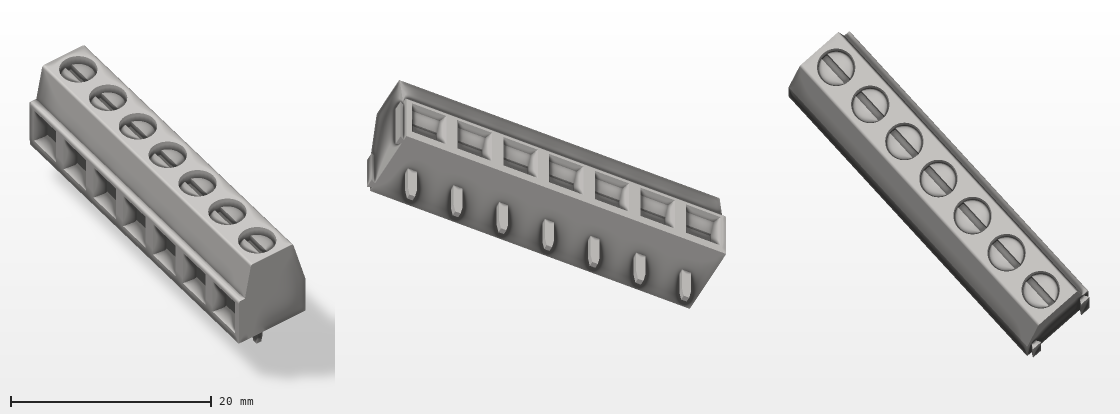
import cadquery as cq

OVERALL_LENGTH = 36.05
BODY_DEPTH = 8.2
BODY_HEIGHT = 10.0
RAIL_PROTRUSION = 0.5
POLE_COUNT = 7
BODY_LENGTH = OVERALL_LENGTH - RAIL_PROTRUSION
PITCH = BODY_LENGTH / POLE_COUNT
MID_Y = BODY_DEPTH / 2

STEP_DEPTH = 0.75
STEP_HEIGHT = 5.77
ROOF_FRONT_Y = 1.5
ROOF_BACK_Y = 6.67
BACK_WALL_HEIGHT = 4.45
EDGE_RADIUS = 0.3

OPENING_WIDTH = 3.82
OPENING_BOTTOM = 0.97
OPENING_TOP = 5.2
OPENING_DEPTH = 1.3
OPENING_SIDE_TAPER = 0.55
OPENING_TAPER_DEPTH = 1.05
OPENING_FLOOR_RISE = 0.55
OPENING_CEILING_DROP = 0.18
SLOPE_START_HEIGHT = 3.45
SLOPE_TOP_DEPTH = 0.75

SCREW_HOLE_RADIUS = 1.9
SCREW_HEAD_RADIUS = 1.8
SCREW_RECESS = 0.83
SCREW_CHAMFER = 0.15
SCREW_SLOT_WIDTH = 0.75
SCREW_SLOT_DEPTH = 0.75

PIN_WIDTH = 1.0
PIN_THICKNESS = 0.58
PIN_LENGTH = 3.82
PIN_TIP_WIDTH = 0.6
PIN_TIP_LENGTH = 1.0

RAIL_OUTER_WIDTH = 1.1
RAIL_ROOT_WIDTH = 0.55
FRONT_RAIL_Y = 0.85
FRONT_RAIL_HEIGHT = 5.23
BACK_RAIL_Y = 7.32
BACK_RAIL_HEIGHT = 4.0


def make_body():
    """Extrude the stepped, tapered cross-section and round its three long upper edges."""
    outline = [
        (0, 0),
        (BODY_DEPTH, 0),
        (BODY_DEPTH, BACK_WALL_HEIGHT),
        (ROOF_BACK_Y, BODY_HEIGHT),
        (ROOF_FRONT_Y, BODY_HEIGHT),
        (STEP_DEPTH, STEP_HEIGHT),
        (0, STEP_HEIGHT),
    ]
    body = cq.Workplane("YZ").polyline(outline).close().extrude(BODY_LENGTH)
    rounded_edges = [(0, STEP_HEIGHT), (ROOF_FRONT_Y, BODY_HEIGHT), (ROOF_BACK_Y, BODY_HEIGHT)]
    for y, z in rounded_edges:
        edge = cq.selectors.NearestToPointSelector((BODY_LENGTH / 2, y, z))
        body = body.edges(edge).fillet(EDGE_RADIUS)
    return body


def make_opening_cutter(x):
    """Funnel for one wire opening, centred on x and entering from the front face."""
    inner_half_width = OPENING_WIDTH / 2 - OPENING_SIDE_TAPER
    inner_bottom = OPENING_BOTTOM + OPENING_FLOOR_RISE
    slope_top_height = OPENING_TOP - OPENING_CEILING_DROP
    side_outline = [
        (0, OPENING_BOTTOM),
        (OPENING_DEPTH, inner_bottom),
        (OPENING_DEPTH, SLOPE_START_HEIGHT),
        (OPENING_TAPER_DEPTH, SLOPE_START_HEIGHT),
        (SLOPE_TOP_DEPTH, slope_top_height),
        (0, OPENING_TOP),
    ]
    plan_outline = [
        (-OPENING_WIDTH / 2, 0),
        (OPENING_WIDTH / 2, 0),
        (inner_half_width, OPENING_TAPER_DEPTH),
        (inner_half_width, OPENING_DEPTH),
        (-inner_half_width, OPENING_DEPTH),
        (-inner_half_width, OPENING_TAPER_DEPTH),
    ]
    side_prism = (
        cq.Workplane("YZ", origin=(x, 0, 0))
        .polyline(side_outline)
        .close()
        .extrude(OPENING_WIDTH / 2, both=True)
    )
    plan_prism = (
        cq.Workplane("XY", origin=(x, 0, 0))
        .polyline(plan_outline)
        .close()
        .extrude(OPENING_TOP)
    )
    return side_prism.intersect(plan_prism)


def make_screw_cutter(x):
    """Recess narrowing down to one screw head, leaving the head with a chamfered rim and a driver slot."""
    head_top = BODY_HEIGHT - SCREW_RECESS
    slot_bottom = head_top - SCREW_SLOT_DEPTH
    rim_bottom = head_top - SCREW_CHAMFER
    hole = (
        cq.Workplane("XY", origin=(x, MID_Y, rim_bottom))
        .circle(SCREW_HEAD_RADIUS)
        .workplane(offset=BODY_HEIGHT - rim_bottom)
        .circle(SCREW_HOLE_RADIUS)
        .loft(ruled=True)
    )
    head = (
        cq.Workplane("XY", origin=(x, MID_Y, rim_bottom))
        .circle(SCREW_HEAD_RADIUS)
        .workplane(offset=SCREW_CHAMFER)
        .circle(SCREW_HEAD_RADIUS - SCREW_CHAMFER)
        .loft(ruled=True)
    )
    slot_ends = (
        cq.Workplane("XY", origin=(x, MID_Y, slot_bottom))
        .circle(SCREW_HEAD_RADIUS)
        .extrude(SCREW_SLOT_DEPTH)
    )
    slot = (
        cq.Workplane("XY", origin=(x, MID_Y, slot_bottom))
        .rect(2 * SCREW_HEAD_RADIUS, SCREW_SLOT_WIDTH)
        .extrude(SCREW_SLOT_DEPTH)
        .intersect(slot_ends)
    )
    return hole.cut(head).union(slot)


def make_pin(x):
    """Flat solder pin below the body, narrowing in width towards its tip."""
    shoulder_z = PIN_TIP_LENGTH - PIN_LENGTH
    outline = [
        (-PIN_WIDTH / 2, 0),
        (PIN_WIDTH / 2, 0),
        (PIN_WIDTH / 2, shoulder_z),
        (PIN_TIP_WIDTH / 2, -PIN_LENGTH),
        (-PIN_TIP_WIDTH / 2, -PIN_LENGTH),
        (-PIN_WIDTH / 2, shoulder_z),
    ]
    return (
        cq.Workplane("XZ", origin=(x, MID_Y, 0))
        .polyline(outline)
        .close()
        .extrude(PIN_THICKNESS / 2, both=True)
    )


def make_rail(y, height):
    """Vertical dovetail rail on the -X end, wider at its outer face than at its root."""
    outline = [
        (0, y - RAIL_ROOT_WIDTH / 2),
        (0, y + RAIL_ROOT_WIDTH / 2),
        (-RAIL_PROTRUSION, y + RAIL_OUTER_WIDTH / 2),
        (-RAIL_PROTRUSION, y - RAIL_OUTER_WIDTH / 2),
    ]
    return cq.Workplane("XY").polyline(outline).close().extrude(height)


result = make_body()

for pole in range(POLE_COUNT):
    pole_x = (pole + 0.5) * PITCH
    result = result.cut(make_opening_cutter(pole_x))
    result = result.cut(make_screw_cutter(pole_x))
    result = result.union(make_pin(pole_x))

for rail_y, rail_height in [(FRONT_RAIL_Y, FRONT_RAIL_HEIGHT), (BACK_RAIL_Y, BACK_RAIL_HEIGHT)]:
    result = result.union(make_rail(rail_y, rail_height))